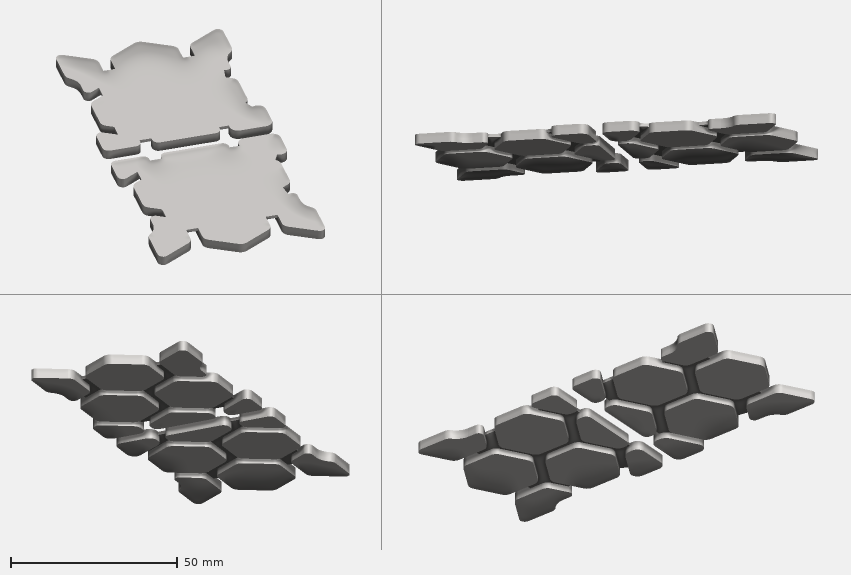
import cadquery as cq
import math


half_length = 56.2
thickness = 3.0
sheet_thickness = 1.0

pad_flat = 21.3
row_pitch = 25.0
pad_radius = 2.7
border_radius = 1.9
nose_radius = 1.6
pad_growth = 0.7

pad_corner = pad_flat / math.sqrt(3)
pad_reach = pad_corner - pad_radius * (2 / math.sqrt(3) - 1)
column_pitch = row_pitch * math.sqrt(3) / 2
outer_column = -half_length + pad_reach
middle_column = outer_column + column_pitch
inner_column = middle_column + column_pitch

inner_edge = -2.8
panel_width = 52.5
half_width = panel_width / 2
waist_half_width = row_pitch / 2 + pad_flat / 2

step_start = -45.3
step_round = 2.7
step_hollow = 5.8

sheet_outer = -44.3
sheet_inner = -5.6
sheet_low_outer = -18.2
sheet_low_inner = -19.7
sheet_top_outer = 22.4
sheet_top_valley = 18.6
sheet_top_peak = (-10.1, 24.9)


def pad(x, y, growth=0.0):
    """Full-height rounded hexagon with two corners pointing along X, trimmed by the border."""
    corner_diameter = 2 * (pad_corner + growth * 2 / math.sqrt(3))
    hexagon = (
        cq.Workplane("XY")
        .center(x, y)
        .polygon(6, corner_diameter)
        .extrude(thickness)
        .edges("|Z")
        .fillet(pad_radius + growth)
    )
    left = x - pad_reach - growth
    right = min(x + pad_reach, inner_edge) + growth
    bottom = max(y - pad_flat / 2, -half_width) - growth
    top = min(y + pad_flat / 2, half_width) + growth
    frame = (
        cq.Workplane("XY")
        .center((left + right) / 2, (bottom + top) / 2)
        .rect(right - left, top - bottom)
        .extrude(thickness)
        .edges("|Z")
        .fillet(border_radius + growth)
    )
    return hexagon.intersect(frame)


def waist_cutter():
    """Material removed below the waist, bounded by the S-shaped step."""
    drop = half_width - waist_half_width
    turn = math.acos(1 - drop / (step_round + step_hollow))

    def round_point(angle):
        return (
            step_start + step_round * math.sin(angle),
            -half_width + step_round * (1 - math.cos(angle)),
        )

    step_end = step_start + (step_round + step_hollow) * math.sin(turn)

    def hollow_point(angle):
        return (
            step_end - step_hollow * math.sin(angle),
            -waist_half_width - step_hollow * (1 - math.cos(angle)),
        )

    return (
        cq.Workplane("XY")
        .moveTo(*round_point(0))
        .threePointArc(round_point(turn / 2), round_point(turn))
        .threePointArc(hollow_point(turn / 2), hollow_point(0))
        .lineTo(middle_column, -waist_half_width)
        .lineTo(middle_column, -half_width)
        .close()
        .extrude(thickness)
    )


def lower_arm():
    """Outer pad at the -Y corner, stepped down to the waist, with a rounded nose."""
    nose_x = outer_column + pad_corner - (row_pitch - waist_half_width) / math.sqrt(3)
    nose = (nose_x, -waist_half_width, thickness / 2)
    return (
        pad(outer_column, -row_pitch)
        .cut(waist_cutter())
        .edges(cq.selectors.NearestToPointSelector(nose))
        .fillet(nose_radius)
    )


def sheet():
    """Thin top sheet; its edges show only in the gaps between the pads."""
    outline = [
        (sheet_outer, sheet_low_outer),
        (middle_column, sheet_low_outer),
        (middle_column, sheet_low_inner),
        (sheet_inner, sheet_low_inner),
        (sheet_inner, sheet_top_peak[1]),
        sheet_top_peak,
        (middle_column, sheet_top_valley),
        (sheet_outer, sheet_top_outer),
    ]
    return (
        cq.Workplane("XY", origin=(0, 0, thickness - sheet_thickness))
        .polyline(outline)
        .close()
        .extrude(sheet_thickness)
    )


def build_panel():
    panel = sheet()
    arm = lower_arm()
    pads = [
        arm,
        arm.mirror("XZ"),
        pad(outer_column, 0),
        pad(middle_column, -row_pitch / 2),
        pad(middle_column, row_pitch / 2),
        pad(inner_column, -row_pitch),
        pad(inner_column, 0),
        pad(inner_column, row_pitch, pad_growth),
    ]
    for piece in pads:
        panel = panel.union(piece)
    return panel


left_panel = build_panel()
right_panel = left_panel.mirror("YZ")

result = cq.Compound.makeCompound([left_panel.val(), right_panel.val()])